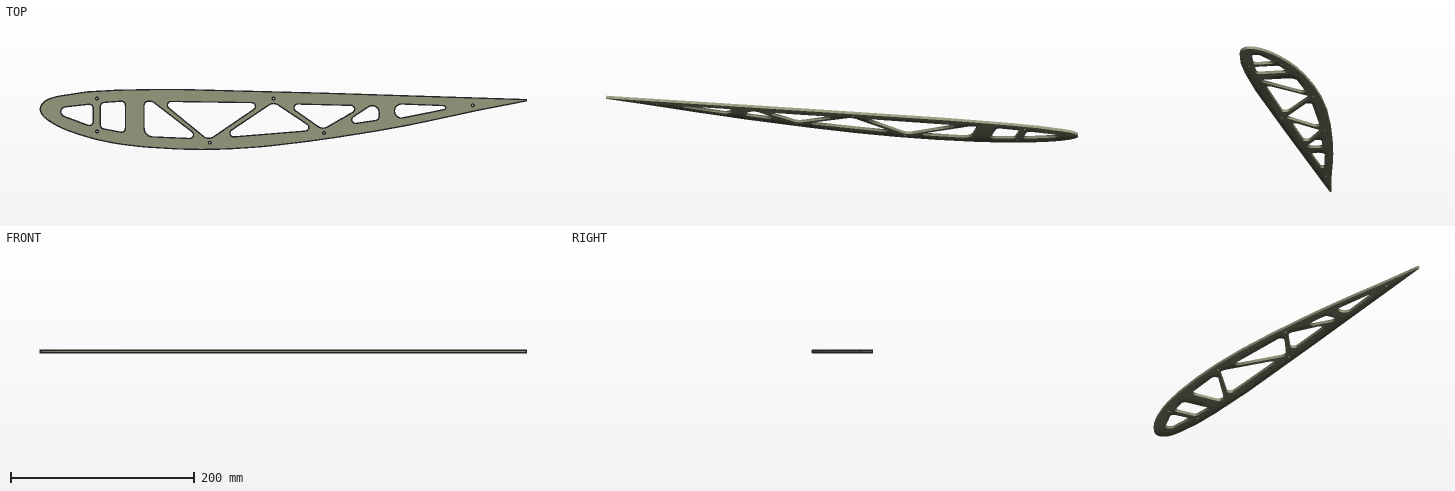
import cadquery as cq
import math

CHORD = 531.0
THICKNESS = 3.0
PIN_DIAMETER = 2.5

NOSE = (0.0, 0.0)
TAIL_TOP = (CHORD, 10.5)
TAIL_BOTTOM = (CHORD, 9.0)
UPPER_STATIONS = [
    (3.0, 7.0), (14.5, 13.0), (29.0, 16.0), (52.5, 19.0), (79.5, 20.5),
    (132.5, 22.0), (219.0, 20.0), (329.5, 17.0), (429.5, 14.0),
]
LOWER_STATIONS = [
    (2.5, -6.5), (9.0, -12.0), (23.0, -20.0), (44.0, -28.0), (65.5, -34.0), (116.0, -41.5),
    (175.0, -44.0), (249.0, -40.5), (323.5, -31.0), (399.0, -18.0), (459.0, -5.5),
]

TRUSS_RADIUS = 4.0
APEX_RADIUS = 9.5
BAY_RADIUS = 4.0
NOSE_RADIUS = 5.5
REAR_RADIUS = 7.5
TAIL_RADIUS = 2.0

NOSE_WINDOW = [(5.5, 0.0, NOSE_RADIUS), (58.0, 6.0, BAY_RADIUS), (58.0, -19.5, BAY_RADIUS)]
SPAR_WINDOW = [
    (66.0, 7.0, BAY_RADIUS), (93.0, 9.0, BAY_RADIUS),
    (93.0, -26.0, BAY_RADIUS), (66.0, -20.5, BAY_RADIUS),
]
TRUSS_WINDOWS = [
    [
        (113.5, 8.5, BAY_RADIUS), (122.5, 8.5, BAY_RADIUS),
        (176.0, -32.5, TRUSS_RADIUS), (113.5, -29.5, APEX_RADIUS),
    ],
    [(131.5, 8.5, TRUSS_RADIUS), (243.5, 7.0, TRUSS_RADIUS), (183.5, -34.0, APEX_RADIUS)],
    [(196.5, -31.5, TRUSS_RADIUS), (255.0, 8.0, APEX_RADIUS), (301.0, -23.0, TRUSS_RADIUS)],
    [(268.0, 6.0, TRUSS_RADIUS), (353.5, 3.5, TRUSS_RADIUS), (308.5, -22.5, APEX_RADIUS)],
    [(327.0, -18.0, TRUSS_RADIUS), (370.0, 10.0, REAR_RADIUS), (370.0, -11.5, BAY_RADIUS)],
]
TAIL_WINDOW = [(387.0, 6.0, REAR_RADIUS), (458.5, 3.0, TAIL_RADIUS), (387.0, -11.0, REAR_RADIUS)]
WINDOWS = [NOSE_WINDOW, SPAR_WINDOW, *TRUSS_WINDOWS, TAIL_WINDOW]

PIN_HOLES = [(62.0, 11.5), (62.0, -24.5), (185.5, -36.5), (255.0, 11.5), (310.0, -26.0), (472.5, 4.0)]


def airfoil_plate():
    """Extrude the airfoil with its narrow blunt trailing edge."""
    surface = [*reversed(UPPER_STATIONS), NOSE, *LOWER_STATIONS, TAIL_BOTTOM]
    outline = cq.Workplane("XY").moveTo(*TAIL_TOP).spline(surface, includeCurrent=True)
    return outline.close().extrude(THICKNESS)


def corner_arc(before, corner, after):
    """Return start, middle and end of the arc that rounds a corner."""
    x, y, radius = corner
    to_before = cq.Vector(before[0] - x, before[1] - y).normalized()
    to_after = cq.Vector(after[0] - x, after[1] - y).normalized()
    half_angle = to_before.getAngle(to_after) / 2
    vertex = cq.Vector(x, y)
    tangent_length = radius / math.tan(half_angle)
    middle_distance = radius / math.sin(half_angle) - radius
    bisector = (to_before + to_after).normalized()
    return (
        vertex + to_before * tangent_length,
        vertex + bisector * middle_distance,
        vertex + to_after * tangent_length,
    )


def window_cutter(corners):
    """Build a rounded polygon through the full plate thickness."""
    count = len(corners)
    arcs = [corner_arc(corners[i - 1], corners[i], corners[(i + 1) % count]) for i in range(count)]
    first_start = arcs[0][0]
    profile = cq.Workplane("XY").moveTo(first_start.x, first_start.y)
    for start, middle, end in arcs:
        if start is not first_start:
            profile = profile.lineTo(start.x, start.y)
        profile = profile.threePointArc((middle.x, middle.y), (end.x, end.y))
    return profile.close().extrude(THICKNESS)


result = airfoil_plate()
for window in WINDOWS:
    result = result.cut(window_cutter(window))

pins = cq.Workplane("XY").pushPoints(PIN_HOLES).circle(PIN_DIAMETER / 2).extrude(THICKNESS)
result = result.cut(pins)